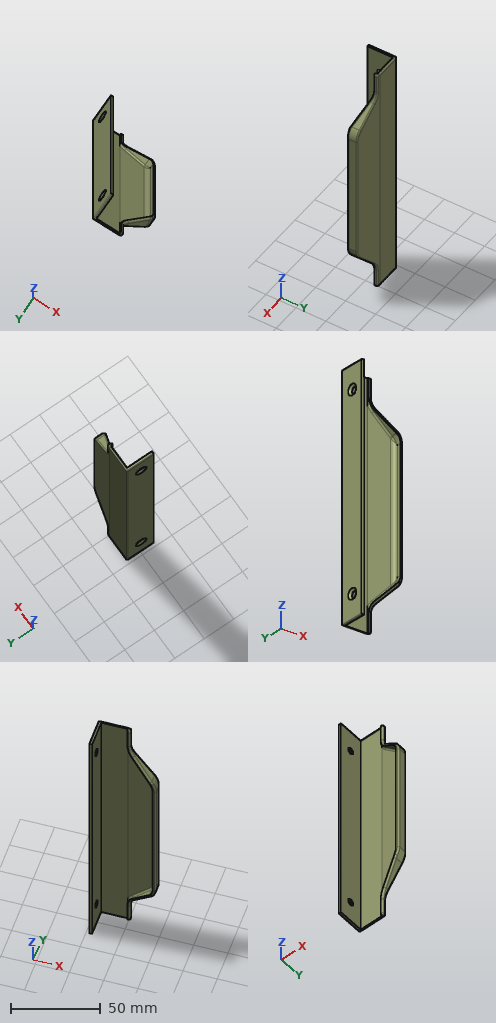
import cadquery as cq
import math

LENGTH = 160.0
LEG_DEPTH = 18.3
REACH = 36.15

LEG_THICKNESS = 1.8
WEB_THICKNESS = 1.4
BEND_X = 17.3
LEG_ROUND = 0.6
BACK_ROUND = 0.9

FLOOR_ANGLE = 8.5
RIM_START_DEPTH = 2.6
RIM_KNEE_X = 33.4
RIM_TIP_DEPTH = 9.3
RIM_WIDTH = 1.8
RIM_ROUND = 1.0
TIP_BLEND = 3.0
SIDE_BLEND = 1.1

LIP_X = 19.2
LIP_CORNER_Z = 63.6
TIP_CORNER_Z = 45.5
LIP_CORNER_RADIUS = 9.5
TIP_CORNER_RADIUS = 10.5
LIP_END_ROUND = 1.1

HOLE_EDGE_DISTANCE = 8.5
HOLE_SPACING = 128.0
HOLE_DIAMETER = 4.2
SINK_DIAMETER = 7.2
SINK_ANGLE = 90.0

FLOOR_SLOPE = math.tan(math.radians(FLOOR_ANGLE))
RIM_SLOPE = (RIM_TIP_DEPTH - RIM_START_DEPTH) / (RIM_KNEE_X - BEND_X)
SIDE_ANGLE = math.atan2(LIP_CORNER_Z - TIP_CORNER_Z, REACH - LIP_X)
SINK_DEPTH = (SINK_DIAMETER - HOLE_DIAMETER) / 2 / math.tan(math.radians(SINK_ANGLE / 2))
GRIP_MID_X = (BEND_X + REACH) / 2


def back_y(x):
    return -FLOOR_SLOPE * (x - BEND_X)


def floor_y(x):
    return back_y(x) - WEB_THICKNESS


def rim_y(x):
    return -RIM_START_DEPTH - RIM_SLOPE * (x - BEND_X)


def near(x, y, z):
    return cq.NearestToPointSelector((x, y, z))


def extrude_section(points):
    """Full-length prism with the given XY section, centred on Z = 0."""
    return cq.Workplane("XY").polyline(points).close().extrude(LENGTH / 2, both=True)


def grip_prism(inset):
    """Grip outline in XZ, moved inward by inset and extruded through Y."""
    lip_x = LIP_X - inset
    tip_x = REACH - inset
    slide = inset * math.tan((math.pi / 2 - SIDE_ANGLE) / 2)
    lip_z = LIP_CORNER_Z - slide
    tip_z = TIP_CORNER_Z - slide
    end_z = LENGTH / 2
    outline = [
        (0, end_z),
        (lip_x, end_z),
        (lip_x, lip_z),
        (tip_x, tip_z),
        (tip_x, -tip_z),
        (lip_x, -lip_z),
        (lip_x, -end_z),
        (0, -end_z),
    ]
    prism = cq.Workplane("XZ").polyline(outline).close().extrude(LEG_DEPTH, both=True)
    for side in (1, -1):
        prism = prism.edges(near(lip_x, 0, side * lip_z)).fillet(LIP_CORNER_RADIUS + inset)
        prism = prism.edges(near(tip_x, 0, side * tip_z)).fillet(TIP_CORNER_RADIUS - inset)
        if inset == 0:
            prism = prism.edges(near(lip_x, 0, side * end_z)).fillet(LIP_END_ROUND)
    return prism


def make_angle():
    return extrude_section(
        [
            (0, 0),
            (BEND_X, 0),
            (BEND_X, -WEB_THICKNESS),
            (LEG_THICKNESS, -WEB_THICKNESS),
            (LEG_THICKNESS, -LEG_DEPTH),
            (0, -LEG_DEPTH),
        ]
    )


def rounded_grip(start_y, tip_y):
    """Solid grip whose front runs straight from start_y to tip_y, rounded along its outline."""
    slab = extrude_section(
        [
            (BEND_X, back_y(BEND_X)),
            (REACH, back_y(REACH)),
            (REACH, tip_y),
            (BEND_X, start_y),
        ]
    )
    grip = slab.intersect(grip_prism(0))
    front = grip.faces(near(GRIP_MID_X, (start_y + tip_y) / 2, 0))
    return front.edges("not <X").fillet(RIM_ROUND)


def make_grip():
    """The sloping rim and the level rim at the tip meet along the knee."""
    sloping = rounded_grip(rim_y(BEND_X), rim_y(REACH))
    level = rounded_grip(-RIM_TIP_DEPTH, -RIM_TIP_DEPTH)
    return sloping.intersect(level)


def make_pocket():
    """Hollow in front of the tray floor, blended into the tip wall and the side walls."""
    tip_x = REACH - RIM_WIDTH
    slab = extrude_section(
        [
            (0, floor_y(0)),
            (tip_x, floor_y(tip_x)),
            (tip_x, -LEG_DEPTH),
            (0, -LEG_DEPTH),
        ]
    )
    slab = slab.edges(near(tip_x, floor_y(tip_x), 0)).fillet(TIP_BLEND)
    pocket = slab.intersect(grip_prism(RIM_WIDTH))
    floor = pocket.faces(near(GRIP_MID_X, floor_y(GRIP_MID_X), 0))
    pocket = floor.edges("not(<X or >X or >Z or <Z)").fillet(SIDE_BLEND)
    web_side = cq.Workplane("XY").box(BEND_X, 2 * LEG_DEPTH, LENGTH, centered=(False, True, True))
    return pocket.cut(web_side)


def round_back(body):
    """Round the rim of the back faces, then the corner and the ends of the leg."""
    grip_back = body.faces(near(GRIP_MID_X, back_y(GRIP_MID_X), 0)).edges("not <X").vals()
    web_ends = body.faces(near(BEND_X / 2, 0, 0)).edges("|X").vals()
    body = body.newObject(grip_back + web_ends).fillet(BACK_ROUND)
    leg_face = body.faces(near(0, -LEG_DEPTH / 2, 0))
    return leg_face.edges("not <Y").fillet(LEG_ROUND)


def drill_leg(body):
    """Screw holes through the leg, countersunk on its outer face."""
    hole_y = HOLE_EDGE_DISTANCE - LEG_DEPTH
    for side in (1, -1):
        center = cq.Workplane("YZ", origin=(0, hole_y, side * HOLE_SPACING / 2))
        hole = center.circle(HOLE_DIAMETER / 2).extrude(LEG_THICKNESS)
        sink = center.circle(SINK_DIAMETER / 2).workplane(offset=SINK_DEPTH).circle(HOLE_DIAMETER / 2).loft()
        body = body.cut(hole).cut(sink)
    return body


body = round_back(make_angle().union(make_grip()))
result = drill_leg(body.cut(make_pocket()))